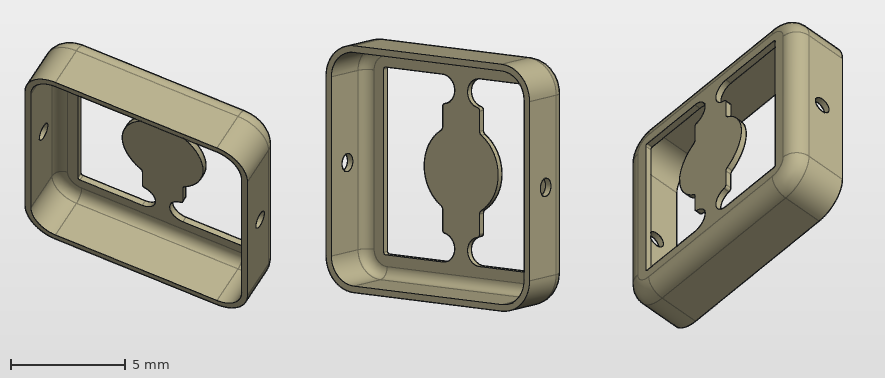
import cadquery as cq

side = 11.0
depth = 2.8
wall = 0.3
corner_radius = 1.51
rim_radius = 0.8

window_side = 8.36
disc_radius = 2.0
stem_width = 2.0
relief_radius = 0.65
window_corner_radius = 0.1
stem_shoulder_radius = 0.15
stem_root_radius = 0.2

cross_hole_diameter = 0.8
cross_hole_from_open_face = 1.21


def rounded_block(width, length, vertical_radius, back_radius):
    """Square block along +Y with rounded sides and a rounded back edge."""
    block = cq.Workplane("XZ").rect(width, width).extrude(-length)
    return block.edges("|Y").fillet(vertical_radius).faces(">Y").edges().fillet(back_radius)


def make_shell():
    """Dished shell of constant wall thickness."""
    outer = rounded_block(side, depth, corner_radius, rim_radius)
    cavity = rounded_block(
        side - 2 * wall, depth - wall, corner_radius - wall, rim_radius - wall
    )
    return outer.cut(cavity)


def floor_plane():
    return cq.Workplane("XZ", origin=(0, depth - wall, 0))


def edges_at(x_min, x_max, z_min, z_max):
    """Selector for the Y edges in a symmetric band of |x| and |z|."""
    selector = None
    for x_sign in (-1, 1):
        for z_sign in (-1, 1):
            box = cq.selectors.BoxSelector(
                (x_sign * x_min, 0, z_sign * z_min),
                (x_sign * x_max, 2 * depth, z_sign * z_max),
            )
            selector = box if selector is None else selector + box
    return cq.selectors.ParallelDirSelector(cq.Vector(0, 1, 0)) & selector


def make_windows():
    """Two mirrored openings shaped by a stem, a central disc and round reliefs."""
    half_window = window_side / 2
    half_stem = stem_width / 2
    relief_z = half_window - relief_radius
    root_z = (disc_radius**2 - half_stem**2) ** 0.5
    shoulder_z = relief_z - relief_radius
    margin = 0.05

    windows = floor_plane().rect(window_side, window_side).extrude(-wall)
    windows = windows.cut(floor_plane().rect(stem_width, window_side).extrude(-wall))
    windows = windows.cut(floor_plane().circle(disc_radius).extrude(-wall))
    reliefs = (
        floor_plane()
        .rect(stem_width, 2 * relief_z, forConstruction=True)
        .vertices()
        .circle(relief_radius)
        .extrude(-wall)
    )
    windows = windows.union(reliefs)

    for x, z, radius in (
        (half_window, half_window, window_corner_radius),
        (half_stem, shoulder_z, stem_shoulder_radius),
        (half_stem, root_z, stem_root_radius),
    ):
        corners = edges_at(x - margin, x + margin, z - margin, z + margin)
        windows = windows.edges(corners).fillet(radius)
    return windows


def make_cross_hole():
    return (
        cq.Workplane("YZ")
        .center(cross_hole_from_open_face, 0)
        .circle(cross_hole_diameter / 2)
        .extrude(side, both=True)
    )


result = make_shell().cut(make_windows()).cut(make_cross_hole())